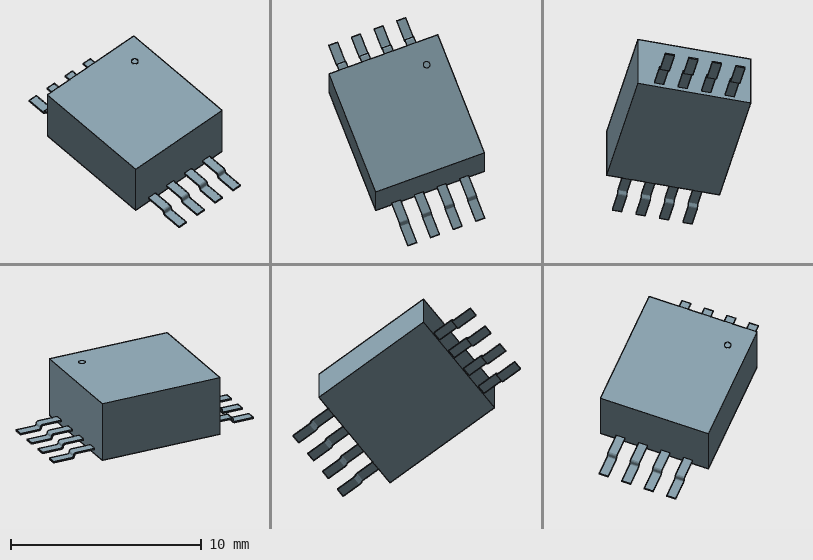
import cadquery as cq
import math

overall_length = 11.76
body_length = 6.94
body_width = 6.1
body_height = 3.3

leads_per_side = 4
lead_pitch = 1.27
lead_width = 0.5
lead_thickness = 0.08
lead_rise = 0.25
foot_length = 1.08
inner_radius = 0.076
outer_radius = inner_radius + lead_thickness
bend_angle = 84

marker_diameter = 0.35
marker_depth = 0.06
marker_x = -2.13
marker_y = 1.92


def make_marker():
    """Thin disc whose upper face is level with the top of the body."""
    return (
        cq.Workplane("XY")
        .workplane(offset=body_height - marker_depth)
        .center(marker_x, marker_y)
        .circle(marker_diameter / 2)
        .extrude(marker_depth)
    )


def make_body():
    """Rectangular housing with a shallow recess that holds the marker."""
    block = cq.Workplane("XY").box(body_length, body_width, body_height, centered=(True, True, False))
    return block.cut(make_marker())


def make_left_lead(y_centre):
    """Lead on the -X side: flat foot, two opposite bends joined by a steep web, flat shoulder."""
    x_tip = -overall_length / 2
    x_body = -body_length / 2
    shoulder_top = lead_rise + lead_thickness

    angle = math.radians(bend_angle)
    inner_run = inner_radius * math.sin(angle)
    outer_run = outer_radius * math.sin(angle)
    inner_drop = inner_radius * (1 - math.cos(angle))
    outer_drop = outer_radius * (1 - math.cos(angle))
    web_run = (lead_rise - inner_drop - outer_drop) / math.tan(angle)

    x_lower_bend = x_tip + foot_length
    x_upper_bend = x_lower_bend + inner_run + web_run + outer_run

    profile = (
        cq.Workplane("XZ", origin=(0, y_centre, 0))
        .moveTo(x_tip, 0)
        .lineTo(x_lower_bend, 0)
        .radiusArc((x_lower_bend + outer_run, outer_drop), -outer_radius)
        .lineTo(x_upper_bend - inner_run, lead_rise - inner_drop)
        .radiusArc((x_upper_bend, lead_rise), inner_radius)
        .lineTo(x_body, lead_rise)
        .lineTo(x_body, shoulder_top)
        .lineTo(x_upper_bend, shoulder_top)
        .radiusArc((x_upper_bend - outer_run, shoulder_top - outer_drop), -outer_radius)
        .lineTo(x_lower_bend + inner_run, lead_thickness + inner_drop)
        .radiusArc((x_lower_bend, lead_thickness), inner_radius)
        .lineTo(x_tip, lead_thickness)
        .close()
    )
    return profile.extrude(lead_width / 2, both=True)


def make_leads():
    """Two mirrored rows of leads, each row centred along Y."""
    first_y = -lead_pitch * (leads_per_side - 1) / 2
    leads = []
    for index in range(leads_per_side):
        left_lead = make_left_lead(first_y + index * lead_pitch)
        right_lead = left_lead.mirror("YZ")
        leads += [left_lead.val(), right_lead.val()]
    return leads


body = make_body()
marker = make_marker()
leads = make_leads()

result = cq.Compound.makeCompound([body.val(), marker.val(), *leads])